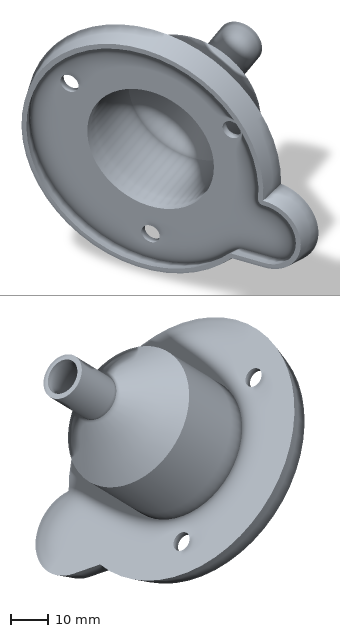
import cadquery as cq
import math

flange_radius = 38.1
flange_height = 7.0
draft_angle = 15.0
lug_radius = 12.85
lug_x = 87.4 - flange_radius - lug_radius
lug_z = -13.55
rim_width = 1.5
pocket_depth = 5.0
neck_radius = 1.5

body_radius = 20.45
body_length = 23.6
spout_radius = 6.5
spout_length = 15.4
cone_length = body_radius - spout_radius
funnel_wall = 1.5

hole_radius = 2.7
hole_circle_radius = 28.05
hole_angles = (30, 150, 270)

body_end = flange_height + body_length
cone_end = body_end + cone_length
spout_end = cone_end + spout_length


def drafted_flange(inset, start, end):
    """Disc and lug between two Y stations, inset from the outer drafted wall."""

    def wall_shift(y):
        return inset + (flange_height - y) * math.tan(math.radians(draft_angle))

    shift = wall_shift(end)
    disc_radius = flange_radius - shift
    end_radius = lug_radius - shift
    arc_mid = end_radius / math.sqrt(2)
    plane = cq.Workplane("XZ", origin=(0, end, 0))
    length = end - start
    disc = plane.circle(disc_radius).extrude(length, taper=draft_angle)
    lug = (
        plane.moveTo(0, lug_z - end_radius)
        .lineTo(lug_x, lug_z - end_radius)
        .threePointArc(
            (lug_x + arc_mid, lug_z + arc_mid),
            (lug_x - end_radius, lug_z),
        )
        .lineTo(0, lug_z)
        .close()
        .extrude(length, taper=draft_angle)
    )
    return disc.union(lug)


def rounded_pocket():
    """Pocket shape with rounded necks where the disc meets the lug."""
    pocket = drafted_flange(rim_width, 0, pocket_depth)
    neck_region = cq.selectors.BoxSelector(
        (body_radius, 0, lug_z - lug_radius),
        (lug_x, pocket_depth, lug_z + lug_radius),
    )
    return pocket.edges(neck_region).edges("not #Y").fillet(neck_radius)


def funnel_solid(inset):
    """Revolved funnel from the open face to the spout end, its wall inset evenly."""
    body_r = body_radius - inset
    spout_r = spout_radius - inset
    cone_shift = inset * math.tan(math.radians(45 / 2))
    return (
        cq.Workplane("XY")
        .polyline([
            (0, 0),
            (body_r, 0),
            (body_r, body_end - cone_shift),
            (spout_r, cone_end - cone_shift),
            (spout_r, spout_end),
            (0, spout_end),
        ])
        .close()
        .revolve(360, (0, 0, 0), (0, 1, 0))
    )


def screw_holes():
    points = [
        (
            hole_circle_radius * math.cos(math.radians(angle)),
            hole_circle_radius * math.sin(math.radians(angle)),
        )
        for angle in hole_angles
    ]
    return cq.Workplane("XZ").pushPoints(points).circle(hole_radius).extrude(-flange_height)


flange = drafted_flange(0, 0, flange_height)
pocket = rounded_pocket()
funnel = funnel_solid(0)
bore = funnel_solid(funnel_wall)

result = flange.union(funnel).cut(pocket).cut(bore).cut(screw_holes())